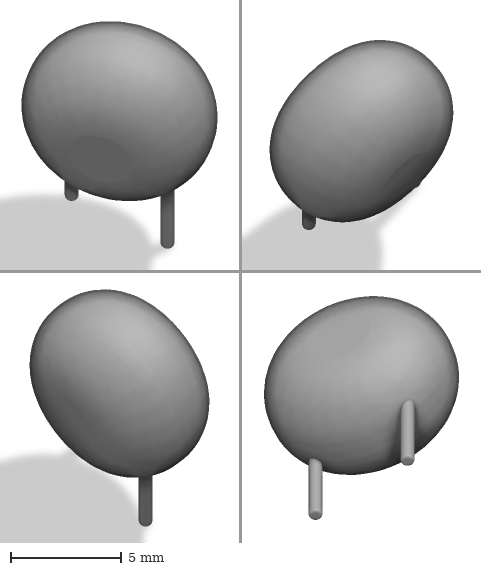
import cadquery as cq

body_diameter = 9.0
body_thickness = 6.1
rim_band_width = 0.16
edge_radius = (body_thickness - rim_band_width) / 2

total_height = 12.03
lead_diameter = 0.63
lead_offset_x = 2.5
lead_offset_y = 0.76
lead_tip_radius = 0.15
lead_bottom_z = body_diameter / 2 - total_height
lead_top_z = -lead_offset_x


def make_body():
    """Disc with full-round edges on both faces, leaving a narrow straight rim."""
    disc = (
        cq.Workplane("XZ", origin=(0, body_thickness / 2, 0))
        .circle(body_diameter / 2)
        .extrude(body_thickness)
    )
    return disc.edges().fillet(edge_radius)


def make_lead(x, y):
    """Vertical lead with a rounded lower tip."""
    lead = (
        cq.Workplane("XY", origin=(x, y, lead_bottom_z))
        .circle(lead_diameter / 2)
        .extrude(lead_top_z - lead_bottom_z)
    )
    return lead.faces("<Z").edges().fillet(lead_tip_radius)


result = make_body()
for side in (-1, 1):
    result = result.union(make_lead(side * lead_offset_x, -side * lead_offset_y))